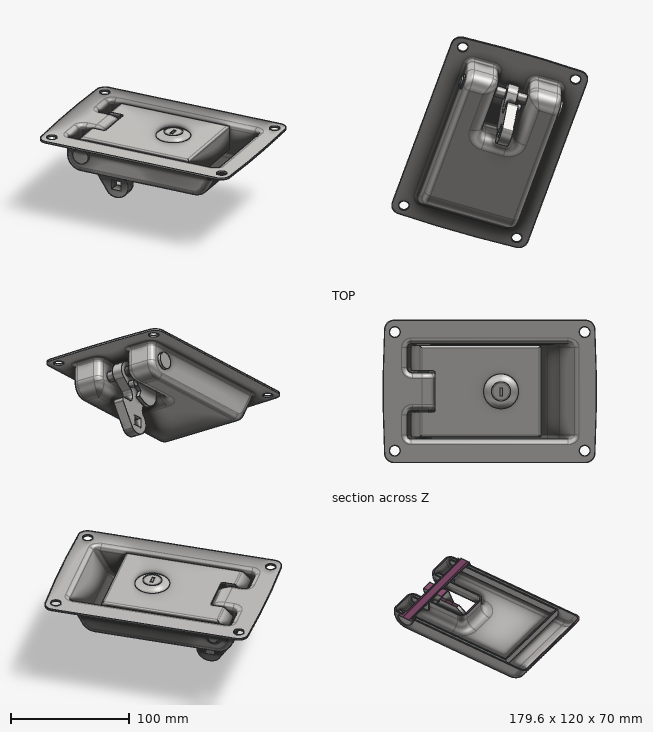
import cadquery as cq
import math

sheet = 1.6
rim_bend = 4.7
corner_bend = 5.0

flange_half_x = 89.8
flange_corner_x = 88.2
flange_half_y = 60.0
flange_corner = 8.0
hole_x = 80.0
hole_y = 50.0
hole_dia = 8.8

cup_left = -71.2
cup_right_low = 56.2
cup_half_y = 41.9
cup_floor = -31.6
cup_roll = 13.5
slope = math.radians(30)

recess_half_y = 14.0
recess_back = -18.0
recess_mouth = 6.0
recess_corner = 4.3
recess_roll = 11.0
joggle_start = -57.1
joggle_angle = math.radians(35)
joggle_radius_1 = 16.9
joggle_radius_2 = 13.5

pin_x = -55.9
pin_z = -15.1
pin_radius = 4.5
head_radius = 7.2
pin_end = 44.4
clip_radius = 6.5
clip_thick = 1.0

paddle_top = -0.5
paddle_left = -58.0
paddle_right = 43.3
paddle_half_y = 38.6
paddle_bottom = -22.5
paddle_notch_half_y = 17.5
paddle_notch_back = -46.0
notch_wall_end = -49.6
paddle_boss_base = 7.0
paddle_boss_tip = 5.4
paddle_bend = 2.0
lip_run = 8.3

lock_x = 9.5
lock_radius = 14.7
lock_top = 3.0
lock_face_radius = 8.0
core_top_radius = 7.0
core_bevel = 0.2
lock_shank = 10.8
dome_mid_radius = 12.2
dome_mid_z = 1.6
keyway_width = 2.2
keyway_length = 6.6
keyway_y = -0.5
keyway_depth = 0.4

cam_thick = 9.5
cam_half_y = cam_thick / 2
cam_boss = 9.0
cam_lobe = 11.1
lobe_x = -41.9
lobe_z = -55.9
lobe_start_angle = math.radians(-132)
lobe_end_angle = math.radians(45)
square_hole = 8.6
neck_left = -49.8
neck_top = -31.5
hook_tip = -62.7
hook_top = -40.5
hook_low = -44.0
neck_fillet = 5.4
hook_fillet = 2.9
tip_fillet = 1.0
waist_x = -35.8
waist_z = -44.2
waist_top_x = -33.8
waist_top_z = -39.2

peg_x = -52.1
peg_z = -25.3
peg_radius = 2.9
peg_length = 5.4

plate_thick = 3.6
plate_arc_x = -32.7
plate_arc_z = -27.0
plate_arc = 11.9
plate_clear = 10.0
plate_nose = -49.5
plate_notch = (-42.4, -28.8)
plate_foot = (-44.4, -34.5)
plate_top_x = -39.5


def along_y(start_y):
    """Workplane in X and Z at the given Y; it extrudes toward -Y."""
    return cq.Workplane("XZ", origin=(0, start_y, 0))


def rod(radius, y_low, y_high, x=pin_x, z=pin_z):
    return along_y(y_high).center(x, z).circle(radius).extrude(y_high - y_low)


def polar(center, radius, angle):
    """Point of a circle; the angle is in radians, measured from +X toward +Z."""
    return (center[0] + radius * math.cos(angle), center[1] + radius * math.sin(angle))


def tangent_point(center, radius, point, side):
    """Where a line from `point` touches a circle; side is +1 or -1."""
    dx = point[0] - center[0]
    dz = point[1] - center[1]
    return polar(center, radius, math.atan2(dz, dx) + side * math.acos(radius / math.hypot(dx, dz)))


def flange():
    plate = (
        cq.Workplane("XY", origin=(0, 0, -sheet))
        .moveTo(-flange_corner_x, -flange_half_y)
        .lineTo(flange_corner_x, -flange_half_y)
        .threePointArc((flange_half_x, 0), (flange_corner_x, flange_half_y))
        .lineTo(-flange_corner_x, flange_half_y)
        .threePointArc((-flange_half_x, 0), (-flange_corner_x, -flange_half_y))
        .close()
        .extrude(sheet)
    )
    plate = plate.edges("|Z").fillet(flange_corner)
    holes = cq.Workplane("XY", origin=(0, 0, -sheet)).rect(2 * hole_x, 2 * hole_y, forConstruction=True)
    return plate.cut(holes.vertices().circle(hole_dia / 2).extrude(sheet))


def cup(inset):
    """Rounded block of the drawn cup, with its faces moved inward by `inset`."""
    low = cup_floor + inset
    half_y = cup_half_y - inset
    left = cup_left + inset
    right_low = cup_right_low + inset * math.tan(slope) - inset / math.cos(slope)
    right_high = right_low - low * math.tan(slope)
    block = (
        along_y(half_y)
        .polyline([(left, 0), (left, low), (right_low, low), (right_high, 0)])
        .close()
        .extrude(2 * half_y)
    )
    block = block.faces("<Z").edges("|Y").fillet(cup_roll - inset)
    side_edges = block.faces("<Y or >Y").edges("not(>Z)")
    return side_edges.fillet(corner_bend - inset)


def recess(inset):
    """Room for the mechanism; its faces are moved outward by `inset`, into the cup."""
    half_y = recess_half_y + inset
    back = recess_back + inset
    floor = cup_floor + inset
    roof = inset - sheet
    outside = cup_left - corner_bend

    center_1 = (joggle_start, -joggle_radius_1)
    radius_1 = joggle_radius_1 + roof
    radius_2 = joggle_radius_2 - roof
    upright = math.pi / 2
    center_2 = polar(center_1, joggle_radius_1 + joggle_radius_2, upright - joggle_angle)
    tunnel = (
        along_y(half_y)
        .moveTo(outside, floor)
        .lineTo(outside, roof)
        .lineTo(joggle_start, roof)
        .threePointArc(
            polar(center_1, radius_1, upright - joggle_angle / 2),
            polar(center_1, radius_1, upright - joggle_angle),
        )
        .threePointArc(
            polar(center_2, radius_2, -upright - joggle_angle / 2),
            polar(center_2, radius_2, -upright),
        )
        .lineTo(back, center_2[1] - radius_2)
        .lineTo(back, floor)
        .close()
        .extrude(2 * half_y)
    )
    tunnel = tunnel.faces(">X").edges("|Z").fillet(recess_corner + inset)

    reach = 2 * recess_roll
    base_length = back + reach - outside
    base = (
        cq.Workplane("XY", origin=(outside + base_length / 2, 0, floor - sheet))
        .rect(base_length, 2 * (half_y + reach))
        .extrude(sheet)
    )
    foot = cq.selectors.BoxSelector(
        (outside + sheet / 2, -half_y - sheet, floor - sheet / 2),
        (back + sheet, half_y + sheet, floor + sheet / 2),
    )
    return tunnel.union(base).edges(foot).fillet(recess_roll - inset)


def cup_with_recess(inset):
    """Cup block with the mechanism recess cut in and the recess mouth rounded."""
    body = cup(inset).cut(recess(inset))
    for side in (-1, 1):
        mouth = (cup_left + inset, side * (recess_half_y + inset), pin_z)
        body = body.edges(cq.selectors.NearestToPointSelector(mouth)).fillet(recess_mouth - inset)
    return body


def rim_edge(pan, y, z):
    """One straight edge of the rim; the rest of its loop runs on tangent."""
    return pan.edges(cq.selectors.NearestToPointSelector((0, y, z)))


def make_pan():
    pan = flange().union(cup_with_recess(0)).cut(cup_with_recess(sheet))
    pan = rim_edge(pan, sheet - cup_half_y, 0).fillet(rim_bend)
    pan = rim_edge(pan, -cup_half_y, -sheet).fillet(rim_bend - sheet)
    return pan.cut(pin_hole())


def pin_hole():
    return rod(pin_radius, -pin_end, pin_end)


def make_pin():
    return pin_hole().union(rod(head_radius, -pin_end, -cup_half_y))


def make_clip():
    clip = rod(clip_radius, cup_half_y, cup_half_y + clip_thick)
    return clip.cut(pin_hole())


def paddle_boss(side):
    """Cone filling the gap between one paddle side and the pan wall; side is +1 or -1."""
    base = cq.Vector(pin_x, side * paddle_half_y, pin_z)
    height = cup_half_y - sheet - paddle_half_y
    return cq.Workplane(
        cq.Solid.makeCone(paddle_boss_base, paddle_boss_tip, height, base, cq.Vector(0, side, 0))
    )


def make_paddle():
    lip_end = paddle_left - lip_run
    lip_low = paddle_top - lip_run
    ear_low = pin_z - pin_radius
    ear_cut = ear_low - paddle_bottom
    block = (
        along_y(paddle_half_y)
        .polyline(
            [
                (paddle_left, paddle_top),
                (lip_end, lip_low),
                (lip_end, ear_low),
                (lip_end + ear_cut, paddle_bottom),
                (paddle_right, paddle_bottom),
                (paddle_right, paddle_top),
            ]
        )
        .close()
        .extrude(2 * paddle_half_y)
    )
    block = block.faces(">Z").edges().fillet(paddle_bend)

    inner_half_y = paddle_half_y - sheet
    lip_shift = sheet * math.tan(math.pi / 8)
    overrun = 2 * lip_run
    hollow = (
        along_y(inner_half_y)
        .polyline(
            [
                (paddle_left + lip_shift, paddle_top - sheet),
                (paddle_left + lip_shift - overrun, paddle_top - sheet - overrun),
                (paddle_left + lip_shift - overrun, paddle_bottom),
                (paddle_right - sheet, paddle_bottom),
                (paddle_right - sheet, paddle_top - sheet),
            ]
        )
        .close()
        .extrude(2 * inner_half_y)
    )

    notch_length = paddle_notch_back - lip_end
    notch = (
        cq.Workplane("XY", origin=(lip_end + notch_length / 2, 0, paddle_bottom))
        .rect(notch_length, 2 * paddle_notch_half_y)
        .extrude(paddle_top - paddle_bottom)
        .faces(">X")
        .edges("|Z")
        .fillet(paddle_bend)
    )
    folded_length = notch_wall_end - lip_end
    folded_sides = (
        cq.Workplane("XY", origin=(lip_end + folded_length / 2, 0, paddle_bottom))
        .rect(folded_length, 2 * (paddle_notch_half_y + sheet))
        .extrude(paddle_top - paddle_bottom)
    )
    hollow = hollow.cut(folded_sides)

    lock_hole = cq.Workplane("XY", origin=(lock_x, 0, paddle_top - sheet)).circle(lock_shank).extrude(sheet)
    paddle = block.cut(hollow).cut(notch).cut(lock_hole)
    for side in (-1, 1):
        paddle = paddle.union(paddle_boss(side))
    return paddle.cut(pin_hole())


def make_lock_bezel():
    """Domed ring on the paddle, with a shank through it."""
    return (
        cq.Workplane("YZ", origin=(lock_x, 0, 0))
        .moveTo(lock_face_radius, paddle_top - sheet)
        .lineTo(lock_shank, paddle_top - sheet)
        .lineTo(lock_shank, paddle_top)
        .lineTo(lock_radius, paddle_top)
        .threePointArc((dome_mid_radius, dome_mid_z), (lock_face_radius, lock_top))
        .close()
        .revolve(360, (0, 0, 0), (0, 1, 0))
    )


def make_lock_core():
    """Bevelled plug with the keyway in its top."""
    low = paddle_top - sheet
    core = cq.Workplane("XY", origin=(lock_x, 0, low)).circle(lock_face_radius).extrude(lock_top - low)
    core = core.faces(">Z").chamfer(core_bevel, lock_face_radius - core_top_radius)
    keyway = (
        cq.Workplane("XY", origin=(lock_x, keyway_y, lock_top - keyway_depth))
        .rect(keyway_width, keyway_length)
        .extrude(keyway_depth)
    )
    return core.cut(keyway)


def make_cam():
    boss = (pin_x, pin_z)
    lobe = (lobe_x, lobe_z)
    neck_corner = (neck_left, neck_top)
    waist_top = (waist_top_x, waist_top_z)
    boss_start = tangent_point(boss, cam_boss, neck_corner, -1)
    boss_middle = polar(boss, cam_boss, math.radians(135))
    lobe_middle = polar(lobe, cam_lobe, (lobe_start_angle + lobe_end_angle) / 2)
    cam = (
        along_y(cam_half_y)
        .moveTo(*boss_start)
        .lineTo(*neck_corner)
        .lineTo(neck_left, hook_top)
        .lineTo(hook_tip, hook_top)
        .lineTo(hook_tip, hook_low)
        .lineTo(*polar(lobe, cam_lobe, lobe_start_angle))
        .threePointArc(lobe_middle, polar(lobe, cam_lobe, lobe_end_angle))
        .threePointArc((waist_x, waist_z), waist_top)
        .lineTo(*tangent_point(boss, cam_boss, waist_top, 1))
        .threePointArc(boss_middle, boss_start)
        .close()
        .extrude(cam_thick)
    )
    for corner_x, corner_z, radius in [
        (neck_left, neck_top, neck_fillet),
        (neck_left, hook_top, hook_fillet),
        (hook_tip, hook_top, tip_fillet),
        (hook_tip, hook_low, tip_fillet),
    ]:
        corner = cq.selectors.NearestToPointSelector((corner_x, 0, corner_z))
        cam = cam.edges("|Y").edges(corner).fillet(radius)
    drive = along_y(cam_half_y).center(*lobe).rect(square_hole, square_hole).extrude(cam_thick)
    return cam.cut(drive).cut(pin_hole())


def make_peg():
    """Short stop peg standing on the side of the cam."""
    return rod(peg_radius, -cam_half_y - peg_length, -cam_half_y, peg_x, peg_z)


def make_stop_plate():
    pin_center = (pin_x, pin_z)
    arc_center = (plate_arc_x, plate_arc_z)
    half_hollow = math.acos((plate_nose - pin_x) / plate_clear)
    hollow_top = polar(pin_center, plate_clear, half_hollow)
    return (
        along_y(-cam_half_y)
        .moveTo(*hollow_top)
        .threePointArc(polar(pin_center, plate_clear, 0), polar(pin_center, plate_clear, -half_hollow))
        .lineTo(*plate_notch)
        .lineTo(*plate_foot)
        .lineTo(*tangent_point(arc_center, plate_arc, plate_foot, 1))
        .threePointArc(polar(arc_center, plate_arc, math.radians(-45)), polar(arc_center, plate_arc, 0))
        .lineTo(plate_arc_x + plate_arc, plate_arc_z + plate_arc / 2)
        .lineTo(plate_top_x, hollow_top[1])
        .close()
        .extrude(plate_thick)
    )


pan = make_pan()
paddle = make_paddle()
lock_bezel = make_lock_bezel()
lock_core = make_lock_core()
pin = make_pin()
clip = make_clip()
cam = make_cam()
peg = make_peg()
stop_plate = make_stop_plate()

bodies = [pan, paddle, lock_bezel, lock_core, pin, clip, cam, peg, stop_plate]
result = cq.Compound.makeCompound([solid for body in bodies for solid in body.solids().vals()])